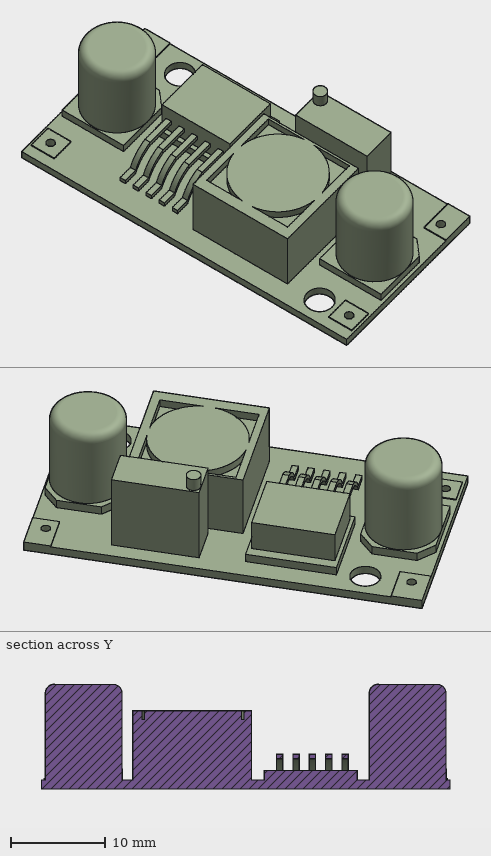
import cadquery as cq

board_length = 43.5
board_width = 21.6
board_thickness = 1.0
board_top = board_thickness
mount_hole_diameter = 3.3
mount_hole_centers = [(-14.9, 8.05), (16.1, -8.15)]

pad_height = 0.15
wire_hole_diameter = 1.0
wire_hole_x = 19.95
wire_hole_y = 8.05
pad_inner_x = 18.35
output_pad_inner_x = 18.8
pad_outer_x = 21.45
plus_pad_inner_y = 6.6
minus_pad_inner_y = 6.55
minus_pad_outer_y = 9.53

can_diameter = 8.2
capacitor_x = 17.23
capacitor_height = 10.2
can_edge_radius = 1.0
base_length = can_diameter
base_width = 8.5
base_height = 1.0
base_chamfer_x = 1.65
base_chamfer_y = 1.8

tab_length = 9.9
tab_width = 8.75
tab_height = 1.0
tab_x = -6.9
tab_front_y = -0.2
regulator_length = 9.1
regulator_width = 7.1
regulator_height = 4.55
regulator_front_y = 0.35
lead_count = 5
lead_pitch = 1.75
lead_width = 0.7
lead_thickness = 0.52
lead_top_height = 2.75
lead_middle_x = -7.1
lead_bend_y = -3.35
lead_foot_y = -5.9
lead_tip_y = -7.7
lead_bulge = 0.25

inductor_x = 5.7
inductor_y = -2.2
inductor_length = 12.65
inductor_width = 12.45
inductor_height = 7.35
pocket_size = 10.85
pocket_x = 5.6
pocket_y = -1.7
pocket_depth = 0.9
core_diameter = 10.9

trimmer_x = 7.8
trimmer_y = 6.9
trimmer_length = 9.55
trimmer_width = 4.2
trimmer_height = 8.95
screw_diameter = 1.55
screw_x = 3.83
screw_y = 8.05
screw_height = 1.5
pin_diameter = 1.0
pin_pitch = 1.52
pin_middle_x = 4.45
pin_y = 7.35
pin_length = 0.25


def block(x_range, y_range, bottom, height):
    """Box between two X limits and two Y limits, standing on the level `bottom`."""
    length = x_range[1] - x_range[0]
    width = y_range[1] - y_range[0]
    return (
        cq.Workplane("XY", origin=(x_range[0], y_range[0], bottom))
        .box(length, width, height, centered=False)
    )


def centered_block(center, length, width, bottom, height):
    """Box centred on an XY point, standing on the level `bottom`."""
    return (
        cq.Workplane("XY", origin=(*center, bottom))
        .box(length, width, height, centered=(True, True, False))
    )


def cylinder(center, diameter, bottom, height):
    """Upright cylinder standing on the level `bottom`."""
    return cq.Workplane("XY", origin=(*center, bottom)).circle(diameter / 2).extrude(height)


def make_board():
    return centered_block((0, 0), board_length, board_width, 0, board_thickness)


def make_pads():
    plus_y = (plus_pad_inner_y, board_width / 2)
    minus_y = (-minus_pad_outer_y, -minus_pad_inner_y)
    pad_areas = [
        ((-board_length / 2, -pad_inner_x), plus_y),
        ((output_pad_inner_x, board_length / 2), plus_y),
        ((-pad_outer_x, -pad_inner_x), minus_y),
        ((pad_inner_x, pad_outer_x), minus_y),
    ]
    pads = cq.Workplane("XY")
    for x_range, y_range in pad_areas:
        pads = pads.add(block(x_range, y_range, board_top, pad_height))
    return pads.combine()


def make_capacitor(x):
    half_length = base_length / 2
    half_width = base_width / 2
    base = (
        cq.Workplane("XY", origin=(x, 0, board_top))
        .moveTo(-half_length, -half_width)
        .lineTo(half_length, -half_width)
        .lineTo(half_length, half_width - base_chamfer_y)
        .lineTo(half_length - base_chamfer_x, half_width)
        .lineTo(-half_length + base_chamfer_x, half_width)
        .lineTo(-half_length, half_width - base_chamfer_y)
        .close()
        .extrude(base_height)
    )
    can = (
        cylinder((x, 0), can_diameter, board_top + base_height, capacitor_height - base_height)
        .faces(">Z")
        .edges()
        .fillet(can_edge_radius)
    )
    return base.union(can)


def make_lead(x):
    """Flat strip that leaves the body level, curves down and ends in a flat foot."""
    upper = board_top + lead_top_height
    lower = upper - lead_thickness
    foot_top = board_top + lead_thickness
    bend_middle_y = (lead_bend_y + lead_foot_y) / 2
    drop_middle = (lead_top_height - lead_thickness) / 2
    return (
        cq.Workplane("YZ", origin=(x - lead_width / 2, 0, 0))
        .moveTo(regulator_front_y, upper)
        .lineTo(lead_bend_y, upper)
        .threePointArc(
            (bend_middle_y - lead_bulge, upper - drop_middle + lead_bulge),
            (lead_foot_y, foot_top),
        )
        .lineTo(lead_tip_y, foot_top)
        .lineTo(lead_tip_y, board_top)
        .lineTo(lead_foot_y, board_top)
        .threePointArc(
            (bend_middle_y - lead_bulge, lower - drop_middle + lead_bulge),
            (lead_bend_y, lower),
        )
        .lineTo(regulator_front_y, lower)
        .close()
        .extrude(lead_width)
    )


def make_regulator():
    tab_center = (tab_x, tab_front_y + tab_width / 2)
    body_center = (tab_x, regulator_front_y + regulator_width / 2)
    regulator = centered_block(tab_center, tab_length, tab_width, board_top, tab_height)
    regulator = regulator.union(
        centered_block(body_center, regulator_length, regulator_width, board_top, regulator_height)
    )
    for index in range(lead_count):
        offset = (index - (lead_count - 1) / 2) * lead_pitch
        regulator = regulator.union(make_lead(lead_middle_x + offset))
    return regulator


def make_inductor():
    pocket_center = (pocket_x, pocket_y)
    pocket_floor = board_top + inductor_height - pocket_depth
    pocket = centered_block(pocket_center, pocket_size, pocket_size, pocket_floor, pocket_depth)
    core = cylinder(pocket_center, core_diameter, pocket_floor, pocket_depth)
    body = centered_block(
        (inductor_x, inductor_y), inductor_length, inductor_width, board_top, inductor_height
    )
    return body.cut(pocket.cut(core))


def make_trimmer():
    body = centered_block(
        (trimmer_x, trimmer_y), trimmer_length, trimmer_width, board_top, trimmer_height
    )
    screw = cylinder((screw_x, screw_y), screw_diameter, board_top + trimmer_height, screw_height)
    return body.union(screw)


def make_pins():
    pins = cq.Workplane("XY")
    for step in (-1, 0, 1):
        pins = pins.add(
            cylinder((pin_middle_x + step * pin_pitch, pin_y), pin_diameter, -pin_length, pin_length)
        )
    return pins.combine()


def make_hole_cutters():
    depth = board_thickness + pad_height
    wire_holes = (
        cq.Workplane("XY")
        .rect(2 * wire_hole_x, 2 * wire_hole_y, forConstruction=True)
        .vertices()
        .circle(wire_hole_diameter / 2)
        .extrude(depth)
    )
    mount_holes = (
        cq.Workplane("XY")
        .pushPoints(mount_hole_centers)
        .circle(mount_hole_diameter / 2)
        .extrude(depth)
    )
    return wire_holes.union(mount_holes)


result = (
    make_board()
    .union(make_pads())
    .union(make_capacitor(-capacitor_x))
    .union(make_capacitor(capacitor_x))
    .union(make_regulator())
    .union(make_inductor())
    .union(make_trimmer())
    .union(make_pins())
    .cut(make_hole_cutters())
)